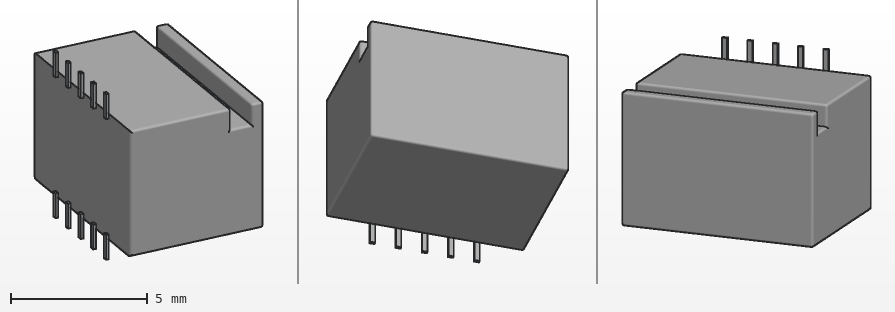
import cadquery as cq

body_width = 7.6
body_depth = 5.5
body_height = 5.1
edge_radius = 0.1

rear_wall = 0.495
slot_width = 0.86
slot_depth = 0.84

leads_per_row = 5
lead_pitch = 1.0
lead_width = 0.2
lead_thickness = 0.115
lead_length = 1.0
lead_tip_span = 6.7

margin = 0.01


def make_slotted_block():
    """Block extruded along X from its slotted side profile."""
    top = body_height / 2
    slot_floor = top - slot_depth
    slot_rear = body_depth - rear_wall
    slot_front = slot_rear - slot_width
    profile = [
        (0, -top),
        (body_depth, -top),
        (body_depth, top),
        (slot_rear, top),
        (slot_rear, slot_floor),
        (slot_front, slot_floor),
        (slot_front, top),
        (0, top),
    ]
    return cq.Workplane("YZ").polyline(profile).close().extrude(body_width / 2, both=True)


def round_edges(block):
    """Round every outer edge except the sharp lead face outline and the slot floor corners.

    The +X edge of the lead face is rounded as well.
    """
    lead_face_edges = cq.selectors.BoxSelector(
        (-body_width, -margin, -body_height),
        (body_width, margin, body_height),
    )
    slot_floor_height = body_height / 2 - slot_depth
    slot_corners = cq.selectors.BoxSelector(
        (-margin, margin, slot_floor_height - margin),
        (margin, body_depth - margin, slot_floor_height + margin),
    )
    rounded_lead_edge = cq.selectors.BoxSelector(
        (body_width / 2 - margin, -margin, -margin),
        (body_width / 2 + margin, margin, margin),
    )
    whole_block = cq.selectors.BoxSelector(
        (-body_width, -body_depth, -body_height),
        (body_width, 2 * body_depth, body_height),
    )
    rounded_edges = whole_block - lead_face_edges - slot_corners + rounded_lead_edge
    return block.edges(rounded_edges).fillet(edge_radius)


def make_leads():
    """Upper and lower rows of leads, each overhanging the body."""
    row_height = (lead_tip_span - lead_length) / 2
    middle = (leads_per_row - 1) / 2
    positions = [
        ((index - middle) * lead_pitch, -lead_thickness / 2, side * row_height)
        for index in range(leads_per_row)
        for side in (-1, 1)
    ]
    return cq.Workplane().pushPoints(positions).box(lead_width, lead_thickness, lead_length)


result = round_edges(make_slotted_block()).union(make_leads())